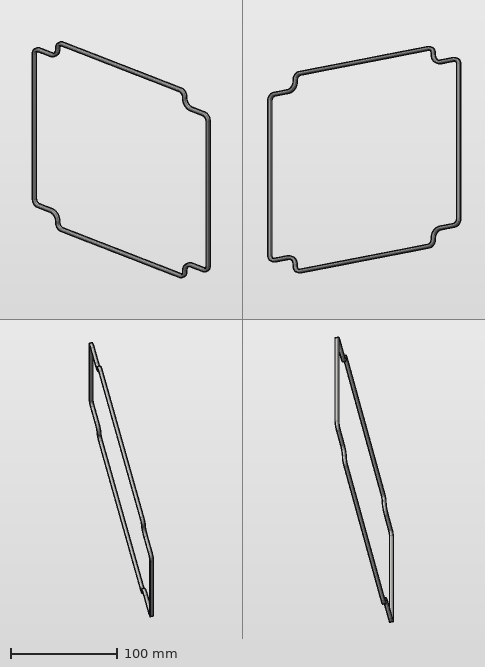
import cadquery as cq

OUTER_LENGTH = 226.1
OUTER_HEIGHT = 196.1
CONVEX_RADIUS = 7.1
CONCAVE_RADIUS = 7.0

NOTCH_LENGTH = 30.0
NOTCH_HEIGHT = 15.5
STEP_LENGTH = OUTER_LENGTH - 2 * NOTCH_LENGTH
STEP_HEIGHT = OUTER_HEIGHT - 2 * NOTCH_HEIGHT

CORD_WIDTH = 3.15
CORD_DEPTH = 3.5
EDGE_RADIUS = 1.0


def rounded_plate(length, height):
    """Rectangular plate with rounded corners, as deep as the cord."""
    base = cq.Workplane("XZ", origin=(0, CORD_DEPTH / 2, 0))
    return base.rect(length, height).extrude(CORD_DEPTH).edges("|Y").fillet(CONVEX_RADIUS)


def notched_plate():
    """Solid plate that fills the outer edge of the cord, with notched corners."""
    wide_plate = rounded_plate(OUTER_LENGTH, STEP_HEIGHT)
    tall_plate = rounded_plate(STEP_LENGTH, OUTER_HEIGHT)
    cross = wide_plate.union(tall_plate)

    zone_x = STEP_LENGTH / 2 + CONVEX_RADIUS / 2
    zone_z = STEP_HEIGHT / 2 + CONVEX_RADIUS / 2
    inner_zone = cq.selectors.BoxSelector(
        (-zone_x, -CORD_DEPTH, -zone_z),
        (zone_x, CORD_DEPTH, zone_z),
    )
    return cross.edges("|Y").edges(inner_zone).fillet(CONCAVE_RADIUS)


def square_cord():
    """Closed cord of rectangular section along the edge of the notched plate."""
    plate = notched_plate()
    outline = plate.faces(">Y").wires().toPending()
    opening = outline.offset2D(-CORD_WIDTH).extrude(CORD_DEPTH, combine=False)
    return plate.cut(opening)


def round_front_edges(cord):
    """Round the inner and outer edges of the cord on its -Y face."""
    return cord.faces("<Y").edges().fillet(EDGE_RADIUS)


result = round_front_edges(square_cord())